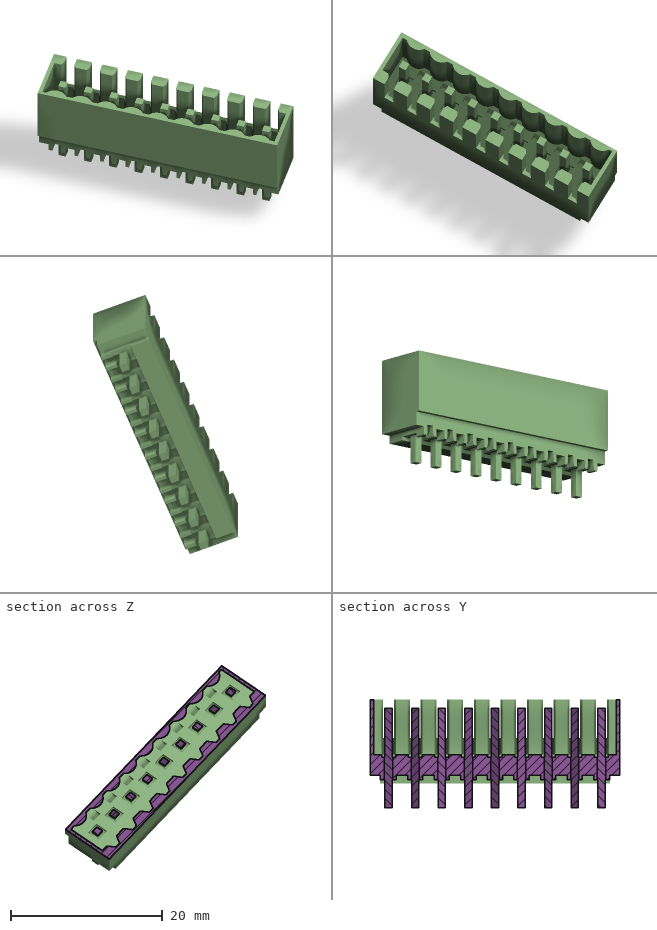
import cadquery as cq
import math


pin_count = 9
pin_span = 28.0
pin_pitch = pin_span / (pin_count - 1)
pin_width = 1.02
pin_y = 3.5
pin_tip_gap = 1.1
pin_tail = 4.28

length = 32.9
depth = 7.45
height = 9.97
end_wall = 0.53
overhang_height = 8.15
overhang_depth = 0.6
overhang_z = height - overhang_height
cavity_depth = 7.25
floor_z = height - cavity_depth

rear_wall = 1.58
recess_web = 0.53
recess_mouth = 1.97
recess_bottom = 0.72
slot_width = 1.4
slot_depth = 5.07

front_wall = 0.5
front_wall_left = 0.4
front_wall_right = 0.6
rib_radius = 1.65
rib_peak = 1.2

pin_pocket = 1.78
pin_pocket_depth = 0.33
ramp_pocket_width = 1.4
ramp_pocket_depth = 0.43
ramp_front = 1.1
ramp_back = 1.5
ramp_pocket_back = 2.0

base_inset = 1.3
base_thickness = 0.6
foot_drop = 1.1
front_foot = 1.48
rear_foot = 2.55
notch_width = 1.4
groove_rise = 0.33
groove_width = 0.95
groove_flare = 0.13
groove_flare_height = 0.5

pin_xs = [-pin_span / 2 + i * pin_pitch for i in range(pin_count)]
gap_xs = [x + pin_pitch / 2 for x in pin_xs[:-1]]


def block(x_min, x_max, y_min, y_max, z_min, z_max):
    """Box given by its limits along each axis."""
    return cq.Workplane("XY").box(
        x_max - x_min, y_max - y_min, z_max - z_min, centered=False
    ).translate((x_min, y_min, z_min))


def centred_block(x, width, y_min, y_max, z_min, z_max):
    """Box centred on x, given by its limits along Y and Z."""
    return block(x - width / 2, x + width / 2, y_min, y_max, z_min, z_max)


def cavity():
    """Mating cavity, open at the top, with ribbed front wall and recessed rear wall."""
    inner_x = length / 2 - end_wall
    rear_y = depth - rear_wall
    rib_centre_y = rib_peak - rib_radius

    def rib_half_chord(y):
        return math.sqrt(rib_radius**2 - (y - rib_centre_y) ** 2)

    outline = cq.Workplane("XY").moveTo(-inner_x, front_wall_left)
    for i, x in enumerate(pin_xs):
        start_y = front_wall_left if i == 0 else front_wall
        end_y = front_wall_right if i == pin_count - 1 else front_wall
        outline = (
            outline.lineTo(x - rib_half_chord(start_y), start_y)
            .threePointArc((x, rib_peak), (x + rib_half_chord(end_y), end_y))
        )
    outline = outline.lineTo(inner_x, front_wall_right).lineTo(inner_x, rear_y)
    for x in reversed(pin_xs):
        outline = (
            outline.lineTo(x + recess_mouth / 2, rear_y)
            .lineTo(x + recess_bottom / 2, depth - recess_web)
            .lineTo(x - recess_bottom / 2, depth - recess_web)
            .lineTo(x - recess_mouth / 2, rear_y)
        )
    outline = outline.lineTo(-inner_x, rear_y).close()
    return outline.extrude(cavity_depth).translate((0, 0, floor_z))


def rear_slot(x):
    """Slot through the rear wall, open at the rim."""
    return centred_block(x, slot_width, depth - rear_wall, depth, height - slot_depth, height)


def ramp_pocket(x):
    """Pocket in the cavity floor, ramped down from the front to a flat bottom."""
    bottom_z = floor_z - ramp_pocket_depth
    return (
        cq.Workplane("YZ")
        .moveTo(ramp_front, floor_z)
        .lineTo(ramp_back, bottom_z)
        .lineTo(ramp_pocket_back, bottom_z)
        .lineTo(ramp_pocket_back, floor_z)
        .close()
        .extrude(ramp_pocket_width / 2, both=True)
        .translate((x, 0, 0))
    )


def pin_groove(x):
    """Groove across the front foot at a pin, flared at the sole."""
    half = groove_width / 2
    sole = -foot_drop
    flare_top = sole + groove_flare_height
    return (
        cq.Workplane("XZ")
        .moveTo(-half, groove_rise)
        .lineTo(half, groove_rise)
        .lineTo(half, flare_top)
        .lineTo(half + groove_flare, sole)
        .lineTo(-half - groove_flare, sole)
        .lineTo(-half, flare_top)
        .close()
        .extrude(-pin_y)
        .translate((x, 0, 0))
    )


def make_housing():
    """Open-topped housing with base plate and feet."""
    base_x = length / 2 - base_inset
    front_foot_back = overhang_depth + front_foot
    rear_foot_front = depth - rear_foot

    body = block(-length / 2, length / 2, 0, depth, overhang_z, height)
    body = body.union(block(-length / 2, length / 2, overhang_depth, depth, 0, overhang_z))
    body = body.union(block(-base_x, base_x, overhang_depth, depth, -foot_drop, 0))
    body = body.cut(
        block(-base_x, base_x, front_foot_back, rear_foot_front, -foot_drop, -base_thickness)
    )
    body = body.cut(cavity())
    for x in gap_xs:
        body = body.cut(
            centred_block(x, notch_width, overhang_depth, rear_foot_front, -foot_drop, 0)
        )
        body = body.cut(ramp_pocket(x))
    for x in pin_xs:
        body = body.cut(rear_slot(x))
        body = body.cut(pin_groove(x))
        body = body.cut(centred_block(
            x, pin_pocket, pin_y - pin_pocket / 2, pin_y + pin_pocket / 2,
            floor_z - pin_pocket_depth, floor_z,
        ))
        body = body.cut(make_pin(x))
    return body


def make_pin(x):
    """Straight square contact pin running through the housing floor."""
    return centred_block(
        x, pin_width, pin_y - pin_width / 2, pin_y + pin_width / 2,
        -pin_tail, height - pin_tip_gap,
    )


housing = make_housing()
pins = [make_pin(x) for x in pin_xs]

result = cq.Compound.makeCompound([housing.val(), *[pin.val() for pin in pins]])